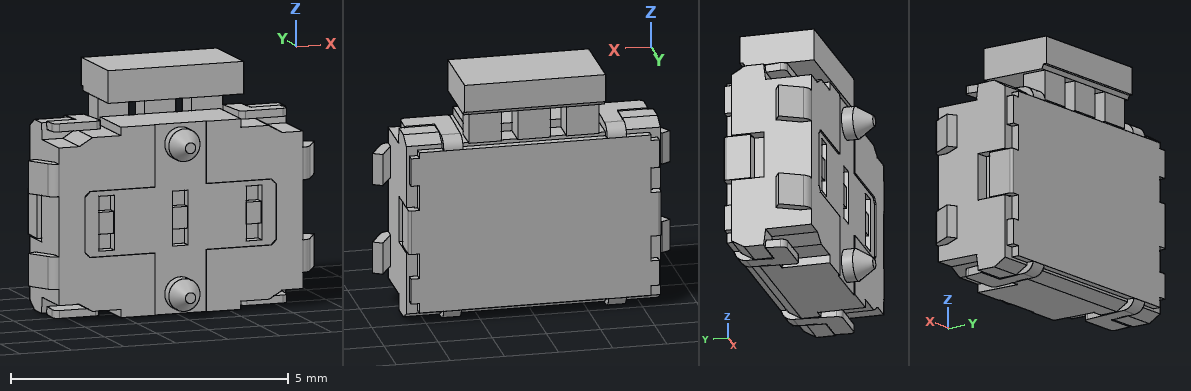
import cadquery as cq
import math


total_width = 5.5
total_depth = 2.15
button_top_z = 2.75

body_width = 4.695
body_height = 3.5
body_depth = 1.65
body_side = body_width / 2
body_top = body_height / 2
back_bevel_y = 0.24
back_bevel_z = 0.145

sheet = 0.15
cover_side = 2.14
cover_top = 1.525
cover_bottom = -1.555
ear_side = 2.295
ear_inner_z = 0.89
ear_top = 1.42
ear_bottom = -1.37
bend_radius = 0.235

flange_outer = 2.25
flange_neck = 1.69
flange_inner_top = 1.33
flange_inner_bottom = 1.36
flange_foot_back = 0.755
flange_front = 1.145
flange_tip_z = 1.79
flange_corner = 0.1

clip_side = 2.34
clip_half_height = 0.42
clip_front = 0.505
clip_bend = 0.05
pocket_half_height = 0.435
pocket_front = 0.76
pocket_depth = 0.255

recess_inner = 1.155
recess_step_start = 1.7
recess_step_end = 1.95
recess_depth_inner = 0.155
recess_depth_outer = 0.3
recess_back_top = 0.755
recess_back_bottom = 0.79

button_width = 2.605
button_height = 0.6
button_depth = 1.395
button_notch_y = 0.1
button_notch_z = 0.08
button_notch_flat = 0.06
leg_width = 0.6
leg_pitch = 0.9
leg_back = 0.1
leg_front = 0.585

cross_depth = 0.03
cross_bar_width = 0.99
cross_window_width = 3.685
cross_window_height = 1.21
cross_bevel = 0.1
contact_width = 0.295
contact_pitch = 1.42
contact_height = 1.005
contact_depth = 0.2
contact_pad_height = 0.4
contact_pad_drop = 0.035

pin_diameter = 0.6
pin_tip_diameter = 0.2
pin_spacing = 2.75
pin_shoulder_y = 1.83
pin_root = 0.11

terminal_thickness = 0.2
terminal_height = 0.6
terminal_spacing = 1.7
terminal_angle = math.radians(60)


def block(x_range, y_range, z_range):
    """Box between the given pairs of limits."""
    size = [high - low for low, high in (x_range, y_range, z_range)]
    corner = (x_range[0], y_range[0], z_range[0])
    return cq.Workplane("XY").box(*size, centered=False).translate(corner)


def both_sides(shape):
    """The shape together with its mirror image across the middle of X."""
    return shape.union(shape.mirror("YZ"))


def four_corners(shape):
    """The shape together with its mirror images in X and Z."""
    left_and_right = both_sides(shape)
    return left_and_right.union(left_and_right.mirror("XY"))


def make_housing():
    """Block with bevelled upper and lower back edges."""
    bevel_start = body_top - back_bevel_z
    bevel_end = -sheet - back_bevel_y
    profile = [
        (-body_depth, -body_top),
        (bevel_end, -body_top),
        (-sheet, -bevel_start),
        (-sheet, bevel_start),
        (bevel_end, body_top),
        (-body_depth, body_top),
    ]
    return cq.Workplane("YZ").polyline(profile).close().extrude(body_side, both=True)


def make_corner_recess():
    """Stepped recess at one front corner, ending at a drafted back wall."""
    inner_floor = body_top - recess_depth_inner
    outer_floor = body_top - recess_depth_outer
    stepped = (
        cq.Workplane("XZ")
        .polyline(
            [
                (recess_inner, body_top),
                (recess_inner, inner_floor),
                (recess_step_start, inner_floor),
                (recess_step_end, outer_floor),
                (body_side, outer_floor),
                (body_side, body_top),
            ]
        )
        .close()
        .extrude(body_depth)
    )
    drafted = (
        cq.Workplane("YZ")
        .polyline(
            [
                (-body_depth, outer_floor),
                (-recess_back_bottom, outer_floor),
                (-recess_back_top, body_top),
                (-body_depth, body_top),
            ]
        )
        .close()
        .extrude(body_side)
    )
    return stepped.intersect(drafted)


def make_slider_slot():
    """Slot for the slider legs, open to the corner recesses at both ends."""
    z_range = (body_top - recess_depth_inner, body_top)
    slot = block((-flange_inner_top, flange_inner_top), (-leg_front, 0), z_range)
    end_gap = block((recess_inner, flange_inner_top), (-recess_back_bottom, 0), z_range)
    return slot.union(both_sides(end_gap))


def make_clip_pocket():
    """Side pocket: a shallow seat for the clip and a deeper opening in front of it."""
    z_range = (-pocket_half_height, pocket_half_height)
    seat = block((body_side - sheet, body_side), (-clip_front, -sheet), z_range)
    opening = block((body_side - pocket_depth, body_side), (-pocket_front, -clip_front), z_range)
    return seat.union(opening)


def make_front_cross():
    """Shallow cross-shaped recess in the front face."""
    floor = -body_depth + cross_depth
    half_bar = cross_bar_width / 2
    half_width = cross_window_width / 2
    half_height = cross_window_height / 2
    bar = block((-half_bar, half_bar), (-body_depth, floor), (-body_top, body_top))
    window = block((-half_width, half_width), (-body_depth, floor), (-half_height, half_height))
    return bar.union(window.edges("|Y").chamfer(cross_bevel))


def make_contact_window(x):
    """Contact window at x, with a pad left standing across its middle."""
    floor = -body_depth + cross_depth
    x_range = (x - contact_width / 2, x + contact_width / 2)
    y_range = (floor, floor + contact_depth)
    pad_y_range = (floor + contact_pad_drop, floor + contact_depth)
    window = block(x_range, y_range, (-contact_height / 2, contact_height / 2))
    pad = block(x_range, pad_y_range, (-contact_pad_height / 2, contact_pad_height / 2))
    return window.cut(pad)


def make_cover_plate():
    """Flat back of the cover, with two ears reaching out at each side."""
    plate = block((-cover_side, cover_side), (-sheet, 0), (cover_bottom, cover_top))
    for ear_range in ((ear_inner_z, ear_top), (ear_bottom, -ear_inner_z)):
        plate = plate.union(block((-ear_side, ear_side), (-sheet, 0), ear_range))
    return plate


def make_clip():
    """Side clip of the cover, bent forward around a rounded corner."""
    z_range = (-clip_half_height, clip_half_height)
    arm = block((clip_side - sheet, clip_side), (-clip_front, 0), z_range)
    root = block((0, clip_side), (-sheet, 0), z_range)
    return arm.union(root).edges("|Z and >X and >Y").fillet(clip_bend)


def make_flange(inner):
    """L-shaped flange bent forward over the top of the housing, rising slightly to its tip."""
    side_profile = (
        cq.Workplane("YZ")
        .moveTo(0, 0)
        .lineTo(0, body_top - bend_radius)
        .radiusArc((-bend_radius, body_top), -bend_radius)
        .lineTo(-flange_front, flange_tip_z)
        .lineTo(-flange_front, flange_tip_z - sheet)
        .lineTo(-bend_radius, body_top - sheet)
        .radiusArc((-sheet, body_top - bend_radius), bend_radius - sheet)
        .lineTo(-sheet, 0)
        .close()
        .extrude(flange_outer)
    )
    z_range = (0, flange_tip_z)
    neck = block((inner, flange_neck), (-flange_front, 0), z_range)
    foot = block((inner, flange_outer), (-flange_front, -flange_foot_back), z_range)
    outline = neck.union(foot).edges("|Z and <Y").fillet(flange_corner)
    return side_profile.intersect(outline)


def make_slider():
    """Button standing on three legs."""
    bottom = button_top_z - button_height
    button = (
        cq.Workplane("YZ")
        .polyline(
            [
                (0, button_top_z),
                (0, bottom + button_notch_z),
                (-button_notch_flat, bottom + button_notch_z),
                (-button_notch_y, bottom),
                (-button_depth, bottom),
                (-button_depth, button_top_z),
            ]
        )
        .close()
        .extrude(button_width / 2, both=True)
    )
    for x in (-leg_pitch, 0, leg_pitch):
        leg = block(
            (x - leg_width / 2, x + leg_width / 2),
            (-leg_front, -leg_back),
            (body_top - recess_depth_inner, bottom),
        )
        button = button.union(leg)
    return button


def make_pin(z):
    """Locating pin with a tapered tip, revolved about its own axis along Y."""
    radius = pin_diameter / 2
    return (
        cq.Workplane("XY", origin=(0, 0, z))
        .polyline(
            [
                (0, -body_depth + pin_root),
                (radius, -body_depth + pin_root),
                (radius, -pin_shoulder_y),
                (pin_tip_diameter / 2, -total_depth),
                (0, -total_depth),
            ]
        )
        .close()
        .revolve(360, (0, 0), (0, 1))
    )


def make_terminal():
    """Terminal leaving the front of the side face and bent backwards."""
    pivot_y = -body_depth + terminal_thickness

    def bend_point(angle):
        x = body_side + terminal_thickness * math.sin(angle)
        return (x, pivot_y - terminal_thickness * math.cos(angle))

    bend_end = bend_point(terminal_angle)
    run_x = total_width / 2 - bend_end[0]
    run_y = run_x * math.tan(terminal_angle)
    return (
        cq.Workplane("XY", origin=(0, 0, (terminal_spacing - terminal_height) / 2))
        .moveTo(body_side - terminal_thickness, -body_depth)
        .lineTo(body_side, -body_depth)
        .threePointArc(bend_point(terminal_angle / 2), bend_end)
        .lineTo(bend_end[0] + run_x, bend_end[1] + run_y)
        .lineTo(body_side + run_x, pivot_y + run_y)
        .lineTo(body_side, pivot_y)
        .lineTo(body_side - terminal_thickness, pivot_y)
        .close()
        .extrude(terminal_height)
    )


result = make_housing()
result = result.cut(four_corners(make_corner_recess()))
result = result.cut(make_slider_slot())
result = result.cut(both_sides(make_clip_pocket()))
result = result.cut(make_front_cross())
for contact_x in (-contact_pitch, 0, contact_pitch):
    result = result.cut(make_contact_window(contact_x))

result = result.union(make_cover_plate())
result = result.union(both_sides(make_clip()))
result = result.union(both_sides(make_flange(flange_inner_top)))
result = result.union(both_sides(make_flange(flange_inner_bottom)).mirror("XY"))

result = result.union(make_slider())
for pin_z in (-pin_spacing / 2, pin_spacing / 2):
    result = result.union(make_pin(pin_z))
result = result.union(four_corners(make_terminal()))